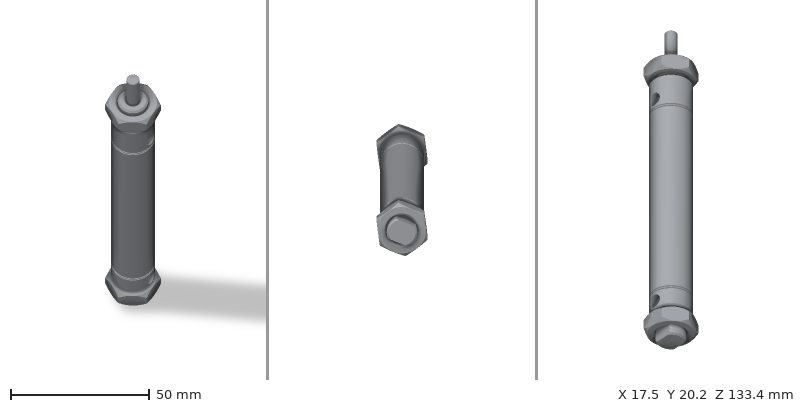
import cadquery as cq
import math

TOTAL_HEIGHT = 133.4
BARREL_BOTTOM = 11.1
BARREL_TOP = 111.0
COLLAR_TOP = 120.5

BARREL_DIAMETER = 15.9
EDGE_CHAMFER = 0.7
GROOVE_WIDTH = 0.5
GROOVE_DEPTH = 0.4
GROOVE_PITCH = 0.8
GROOVE_PAIR_CENTRES = (18.8, 97.6)

THREAD_DIAMETER = 11.1
NECK_DIAMETER = 8.5
STUD_ACROSS_FLATS = 7.9

PORT_DIAMETER = 5.2
PORT_DEPTH = 2.7
PORT_CENTRES = (14.4, 101.6)

ROD_DIAMETER = 4.7
ROD_CHAMFER = 0.3
ROD_MOUTH_DIAMETER = 6.1

NUT_ACROSS_FLATS = 17.5
NUT_FACE_DIAMETER = 17.3
NUT_HEIGHT = 6.3
NUT_MOUTH_DIAMETER = 12.5
REAR_NUT_BOTTOM = 3.5
FRONT_NUT_BOTTOM = 112.5

AXIS_START = (0, 0, 0)
AXIS_END = (0, 1, 0)


def cylinder(diameter, bottom, top):
    """Solid cylinder on the Z axis between two heights."""
    return cq.Workplane("XY").workplane(offset=bottom).circle(diameter / 2).extrude(top - bottom)


def make_groove(centre):
    """Ring cutter with a V section, its mouth on the barrel surface at height `centre`."""
    surface = BARREL_DIAMETER / 2
    lower_lip = (surface, centre - GROOVE_WIDTH / 2)
    root = (surface - GROOVE_DEPTH, centre)
    upper_lip = (surface, centre + GROOVE_WIDTH / 2)
    section = cq.Workplane("XZ").polyline([lower_lip, root, upper_lip]).close()
    return section.revolve(360, AXIS_START, AXIS_END)


def make_barrel():
    """Main tube with chamfered ends and a pair of fine V grooves near each end."""
    barrel = cylinder(BARREL_DIAMETER, BARREL_BOTTOM, BARREL_TOP).faces("<Z or >Z").chamfer(EDGE_CHAMFER)
    for pair_centre in GROOVE_PAIR_CENTRES:
        for side in (-1, 1):
            barrel = barrel.cut(make_groove(pair_centre + side * GROOVE_PITCH / 2))
    return barrel


def make_front_collar():
    """Thread collar standing on a narrower neck that reaches the front nut."""
    neck = cylinder(NECK_DIAMETER, BARREL_TOP, FRONT_NUT_BOTTOM)
    collar = cylinder(THREAD_DIAMETER, FRONT_NUT_BOTTOM, COLLAR_TOP).faces(">Z").chamfer(EDGE_CHAMFER)
    return neck.union(collar)


def make_rear_stud():
    """Thread stud with a flat on its -X and +X sides."""
    stud = cylinder(THREAD_DIAMETER, 0, BARREL_BOTTOM).faces("<Z").chamfer(EDGE_CHAMFER)
    flats = cq.Workplane("XY").rect(STUD_ACROSS_FLATS, THREAD_DIAMETER).extrude(BARREL_BOTTOM)
    return stud.intersect(flats)


def make_countersink(mouth_diameter, hole_diameter, face, inward):
    """45-degree cone cutter opening at height `face`; `inward` is +1 for up into the body, -1 for down."""
    tip = face + inward * (mouth_diameter - hole_diameter) / 2
    outline = [(0, face), (mouth_diameter / 2, face), (hole_diameter / 2, tip), (0, tip)]
    return cq.Workplane("XZ").polyline(outline).close().revolve(360, AXIS_START, AXIS_END)


def make_port(height):
    """Cutter for a blind radial port on the +X side of the barrel."""
    floor = BARREL_DIAMETER / 2 - PORT_DEPTH
    port = cq.Workplane("YZ").workplane(offset=floor).center(0, height).circle(PORT_DIAMETER / 2)
    return port.extrude(BARREL_DIAMETER)


def make_housing():
    """Barrel, front collar and rear stud in one piece, with the rod bore and ports cut in."""
    housing = make_barrel().union(make_front_collar()).union(make_rear_stud())
    housing = housing.cut(cylinder(ROD_DIAMETER, BARREL_TOP, COLLAR_TOP))
    housing = housing.cut(make_countersink(ROD_MOUTH_DIAMETER, ROD_DIAMETER, COLLAR_TOP, -1))
    for height in PORT_CENTRES:
        housing = housing.cut(make_port(height))
    return housing


def make_rod():
    """Piston rod, seated in the collar bore down to the barrel face."""
    return cylinder(ROD_DIAMETER, BARREL_TOP, TOTAL_HEIGHT).faces(">Z").chamfer(ROD_CHAMFER)


def make_nut(bottom):
    """Hex nut with corners on the Y axis, both faces chamfered and both bore mouths countersunk."""
    top = bottom + NUT_HEIGHT
    blank = (
        cq.Workplane("XY")
        .workplane(offset=bottom)
        .polygon(6, NUT_ACROSS_FLATS, circumscribed=True)
        .extrude(NUT_HEIGHT)
    )
    rim_diameter = NUT_ACROSS_FLATS / math.cos(math.radians(30))
    rim = cylinder(rim_diameter, bottom, top).faces("<Z or >Z").chamfer((rim_diameter - NUT_FACE_DIAMETER) / 2)
    nut = blank.intersect(rim).cut(cylinder(THREAD_DIAMETER, bottom, top))
    nut = nut.cut(make_countersink(NUT_MOUTH_DIAMETER, THREAD_DIAMETER, bottom, 1))
    return nut.cut(make_countersink(NUT_MOUTH_DIAMETER, THREAD_DIAMETER, top, -1))


housing = make_housing()
rod = make_rod()
nuts = [make_nut(bottom) for bottom in (REAR_NUT_BOTTOM, FRONT_NUT_BOTTOM)]

result = cq.Compound.makeCompound([housing.val(), rod.val(), *[nut.val() for nut in nuts]])